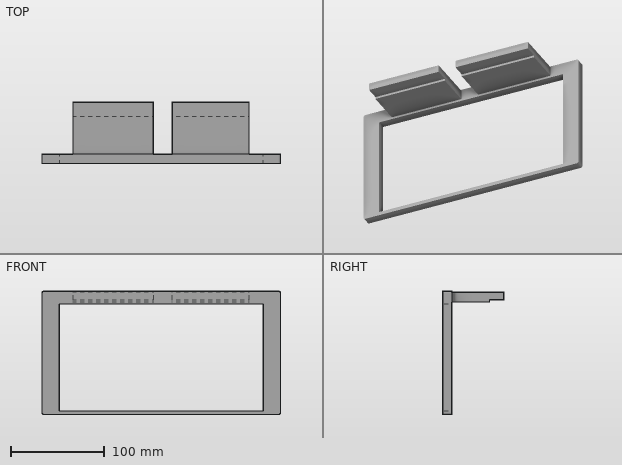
import cadquery as cq

frame_width = 255.0
frame_height = 132.0
frame_depth = 10.0
corner_radius = 2.0

side_border = 18.5
top_border = 14.0
bottom_border = 4.0

overall_depth = 65.57
plate_drop = 1.0
plate_thickness = 10.7
tip_thickness = 8.3
tip_length = 15.3
left_plate_offset = 33.0
left_plate_width = 86.0
plate_gap = 20.0
right_plate_width = 82.5


def make_frame():
    """Rectangular frame with rounded outer corners and a square-cornered window."""
    body = cq.Workplane("XY").box(
        frame_width, frame_depth, frame_height, centered=(True, False, True)
    )
    body = body.edges("|Y").fillet(corner_radius)

    window_width = frame_width - 2 * side_border
    window_height = frame_height - top_border - bottom_border
    window_center_z = (bottom_border - top_border) / 2
    window = (
        cq.Workplane("XY")
        .box(window_width, frame_depth, window_height, centered=(True, False, True))
        .translate((0, 0, window_center_z))
    )
    return body.cut(window)


def make_plate(left_x, width):
    """Plate with a thinner tip, its side profile drawn in YZ and extruded along +X."""
    top_z = frame_height / 2 - plate_drop
    step_y = overall_depth - tip_length
    return (
        cq.Workplane("YZ", origin=(left_x, 0, 0))
        .moveTo(frame_depth, top_z)
        .lineTo(overall_depth, top_z)
        .lineTo(overall_depth, top_z - tip_thickness)
        .lineTo(step_y, top_z - tip_thickness)
        .lineTo(step_y, top_z - plate_thickness)
        .lineTo(frame_depth, top_z - plate_thickness)
        .close()
        .extrude(width)
    )


left_plate_x = -frame_width / 2 + left_plate_offset
right_plate_x = left_plate_x + left_plate_width + plate_gap

result = (
    make_frame()
    .union(make_plate(left_plate_x, left_plate_width))
    .union(make_plate(right_plate_x, right_plate_width))
)